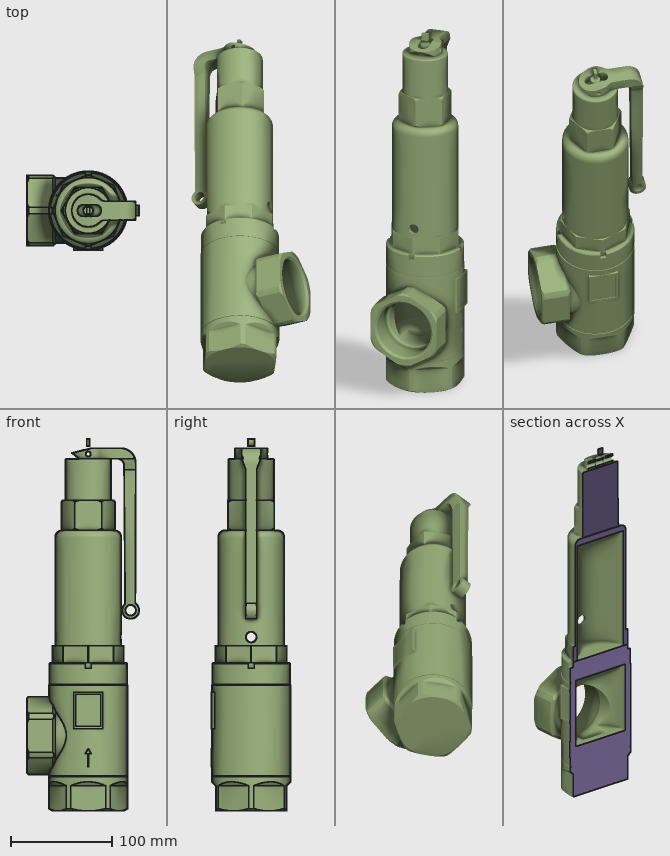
import cadquery as cq
import math


BODY_RADIUS = 39.0
COLLAR_RADIUS = 38.5
GROOVE_RADIUS = 38.3
GROOVE_WIDTH = 1.0
HEX_ACROSS_FLATS = 70.0
INLET_BAND_TOP = 33.5
INLET_FLAT_HEIGHT = 24.5
INLET_EDGE_WIDTH = 3.5
INLET_EDGE_HEIGHT = 2.2
COLLAR_BOTTOM = 125.0
HOUSING_TOP = 146.5
COLLAR_EDGE_CHAMFER = 1.0
NOTCH_WIDTH = 6.0
NOTCH_DEPTH = 5.5
NOTCH_LENGTH = 11.0
CHAMBER_RADIUS = 31.3
CHAMBER_FLOOR = 54.0

OUTLET_Z = 74.5
OUTLET_FACE_X = -60.7
OUTLET_CORNER_RADIUS = 38.5
OUTLET_FACE_CHAMFER = 2.0
NECK_RADIUS = 32.5
OUTLET_FLAT_END_X = -35.0
OUTLET_MOUTH_RADIUS = 30.5
OUTLET_BORE_RADIUS = 28.5
OUTLET_BORE_DEPTH = 25.8
OUTLET_PASSAGE_RADIUS = 26.0
PASSAGE_END_X = -7.5

BADGE_WIDTH = 29.0
BADGE_HEIGHT = 36.0
BADGE_Z = 99.5
BADGE_FACE_Y = -39.5
BADGE_RIM = 2.2
BADGE_RECESS = 0.55
ARROW_TIP_Z = 61.5
ARROW_TAIL_Z = 43.8
ARROW_HEAD_HEIGHT = 5.0
ARROW_HEAD_WIDTH = 6.3
ARROW_SHAFT_WIDTH = 1.0
ARROW_RELIEF = 0.5

BONNET_RADIUS = 32.8
BONNET_TOP = 277.5
BONNET_FILLET = 7.0
BONNET_WALL = 3.5
BONNET_ROOF = 7.5
OCTAGON_TOP = 163.0
OCTAGON_CORNER_RADIUS = 35.5
VENT_DIAMETER = 10.3
VENT_Z = 172.0

CAP_DIAMETER = 45.3
CAP_HEX_ACROSS_FLATS = 46.0
CAP_HEX_TOP = 307.3
CAP_TOP = 348.0
CAP_EDGE_FILLET = 1.5
CAP_HEX_CHAMFER = 2.0

LEVER_TOP = 359.0
DISC_RADIUS = 16.2
ARM_WIDTH = 18.8
ARM_FILLET = 7.5
ARM_END_CHAMFER = 2.2
DISC_SLOPE_START_X = 3.5
DISC_TIP_Z = 354.0
DISC_UNDERSIDE_X = -9.0
BEND_OUTER_RADIUS = 15.0
BEND_INNER_RADIUS = 6.3
HANDLE_INNER_X = 35.5
HANDLE_OUTER_X = 47.0
HANDLE_END_INNER_X = 36.5
HANDLE_END_OUTER_X = 46.7
HANDLE_WIDTH = 10.5
TAPER_BOTTOM = 337.5
RING_X = 42.0
RING_Z = 198.5
RING_OUTER_RADIUS = 8.5
RING_HOLE_RADIUS = 5.0
SLOT_LENGTH = 23.5
SLOT_WIDTH = 11.5
SLOT_X = 1.0
SEAL_HOLE_DIAMETER = 4.8
SEAL_HOLE_Z = 353.0

SPINDLE_DIAMETER = 9.5
SPINDLE_TOP = 357.0
TAG_THICKNESS = 3.0
TAG_WIDTH = 6.5
TAG_BOTTOM = 360.5
TAG_TOP = 368.0


def cylinder(radius, bottom, top):
    return cq.Workplane("XY").workplane(offset=bottom).circle(radius).extrude(top - bottom)


def inlet_flat_cutter():
    """Cutter for one inlet wrench flat, on the -Y side, ending in a 45 degree slope."""
    flat_y = HEX_ACROSS_FLATS / 2
    reach = BODY_RADIUS
    profile = [
        (-flat_y, 0),
        (-flat_y, INLET_FLAT_HEIGHT),
        (-flat_y - reach, INLET_FLAT_HEIGHT + reach),
        (-flat_y - reach, 0),
    ]
    return cq.Workplane("YZ").polyline(profile).close().extrude(BODY_RADIUS, both=True)


def outlet_branch():
    """Outlet hexagon with flats at +Y and -Y, rounded corners and a sloped back, and its neck."""
    slope_length = HEX_ACROSS_FLATS / 2 - NECK_RADIUS
    face = cq.Workplane("YZ", origin=(OUTLET_FACE_X, 0, OUTLET_Z))
    flat_end = cq.Workplane("YZ", origin=(OUTLET_FLAT_END_X, 0, OUTLET_Z))
    hexagon = (
        face.polygon(6, HEX_ACROSS_FLATS, circumscribed=True).extrude(OUTLET_FLAT_END_X - OUTLET_FACE_X)
        .union(flat_end.polygon(6, HEX_ACROSS_FLATS, circumscribed=True).extrude(slope_length, taper=45))
    )
    envelope = face.circle(OUTLET_CORNER_RADIUS).extrude(-OUTLET_FACE_X)
    envelope = envelope.faces("<X").chamfer(OUTLET_FACE_CHAMFER)
    neck = face.circle(NECK_RADIUS).extrude(-OUTLET_FACE_X)
    return hexagon.intersect(envelope).union(neck)


def outlet_bore():
    """Chamfered mouth, bore and, behind a 45 degree cone, the narrower passage into the chamber."""
    face = OUTLET_FACE_X
    bore_end = face + OUTLET_BORE_DEPTH
    profile = [
        (face, 0),
        (face, OUTLET_MOUTH_RADIUS),
        (face + OUTLET_MOUTH_RADIUS - OUTLET_BORE_RADIUS, OUTLET_BORE_RADIUS),
        (bore_end, OUTLET_BORE_RADIUS),
        (bore_end + OUTLET_BORE_RADIUS - OUTLET_PASSAGE_RADIUS, OUTLET_PASSAGE_RADIUS),
        (PASSAGE_END_X, OUTLET_PASSAGE_RADIUS),
        (PASSAGE_END_X, 0),
    ]
    bore = cq.Workplane("XY").polyline(profile).close().revolve(360, (0, 0, 0), (1, 0, 0))
    return bore.translate((0, 0, OUTLET_Z))


def badge_block(width, height, face_y):
    """Upright rectangular block that reaches from the chamber wall out to face_y on the -Y side."""
    face = cq.Workplane("XZ", origin=(0, face_y, BADGE_Z))
    return face.rect(width, height).extrude(face_y + CHAMBER_RADIUS)


def groove(bottom):
    """Ring that cuts a shallow groove into the round wall."""
    ring = cylinder(BODY_RADIUS, bottom, bottom + GROOVE_WIDTH)
    return ring.cut(cylinder(GROOVE_RADIUS, bottom, bottom + GROOVE_WIDTH))


def flow_arrow():
    """Raised arrow that follows the round wall."""
    neck_z = ARROW_TIP_Z - ARROW_HEAD_HEIGHT
    half_head, half_shaft = ARROW_HEAD_WIDTH / 2, ARROW_SHAFT_WIDTH / 2
    outline = [
        (0, ARROW_TIP_Z),
        (half_head, neck_z),
        (half_shaft, neck_z),
        (half_shaft, ARROW_TAIL_Z),
        (-half_shaft, ARROW_TAIL_Z),
        (-half_shaft, neck_z),
        (-half_head, neck_z),
    ]
    prism = cq.Workplane("XZ").polyline(outline).close().extrude(2 * BODY_RADIUS)
    skin = cylinder(BODY_RADIUS + ARROW_RELIEF, 0, COLLAR_BOTTOM)
    skin = skin.cut(cylinder(CHAMBER_RADIUS, 0, COLLAR_BOTTOM))
    return prism.intersect(skin)


def make_housing():
    """Valve housing with inlet hexagon, outlet branch, badge and the notched collar, as one casting."""
    inlet = cylinder(BODY_RADIUS, 0, INLET_BAND_TOP).faces("<Z").chamfer(INLET_EDGE_HEIGHT, INLET_EDGE_WIDTH)
    for side in range(6):
        inlet = inlet.cut(inlet_flat_cutter().rotate((0, 0, 0), (0, 0, 1), 60 * side))
    collar = cylinder(COLLAR_RADIUS, COLLAR_BOTTOM, HOUSING_TOP).faces(">Z").chamfer(COLLAR_EDGE_CHAMFER)
    housing = inlet.union(cylinder(BODY_RADIUS, INLET_BAND_TOP, COLLAR_BOTTOM))
    housing = housing.union(collar)
    housing = housing.cut(groove(INLET_BAND_TOP)).cut(groove(COLLAR_BOTTOM - GROOVE_WIDTH))
    housing = housing.union(outlet_branch()).union(flow_arrow())
    housing = housing.union(badge_block(BADGE_WIDTH, BADGE_HEIGHT, BADGE_FACE_Y))
    recess_width, recess_height = BADGE_WIDTH - 2 * BADGE_RIM, BADGE_HEIGHT - 2 * BADGE_RIM
    recess_face = cq.Workplane("XZ", origin=(0, BADGE_FACE_Y, BADGE_Z))
    housing = housing.cut(recess_face.rect(recess_width, recess_height).extrude(-BADGE_RECESS))

    housing = housing.cut(cylinder(CHAMBER_RADIUS, CHAMBER_FLOOR, COLLAR_BOTTOM))
    housing = housing.cut(outlet_bore())
    notch_x = OCTAGON_CORNER_RADIUS + NOTCH_LENGTH / 2
    notch_z = HOUSING_TOP - NOTCH_DEPTH / 2
    for angle in (0, 90, 180, 270):
        notch = cq.Workplane("XY", origin=(notch_x, 0, notch_z)).box(NOTCH_LENGTH, NOTCH_WIDTH, NOTCH_DEPTH)
        housing = housing.cut(notch.rotate((0, 0, 0), (0, 0, 1), angle))
    return housing


def make_bonnet():
    """Hollow spring bonnet: octagon foot with corners on the axes, and a round barrel tangent to its flats."""
    octagon = (
        cq.Workplane("XY").workplane(offset=HOUSING_TOP)
        .polygon(8, 2 * BONNET_RADIUS, circumscribed=True).extrude(OCTAGON_TOP - HOUSING_TOP)
        .rotate((0, 0, 0), (0, 0, 1), 180 / 8)
    )
    foot = octagon.intersect(cylinder(OCTAGON_CORNER_RADIUS, HOUSING_TOP, OCTAGON_TOP))
    barrel = cylinder(BONNET_RADIUS, HOUSING_TOP, BONNET_TOP).faces(">Z").edges().fillet(BONNET_FILLET)
    vent = (
        cq.Workplane("YZ", origin=(0, 0, VENT_Z))
        .circle(VENT_DIAMETER / 2).extrude(2 * BONNET_RADIUS, both=True)
    )
    spring_space = cylinder(BONNET_RADIUS - BONNET_WALL, HOUSING_TOP, BONNET_TOP - BONNET_ROOF)
    return foot.union(barrel).cut(spring_space).cut(vent)


def make_cap():
    """Hexagon with chamfered corners below a slightly narrower round cap."""
    height = CAP_HEX_TOP - BONNET_TOP
    hexagon = (
        cq.Workplane("XY").workplane(offset=BONNET_TOP)
        .polygon(6, CAP_HEX_ACROSS_FLATS, circumscribed=True).extrude(height)
        .rotate((0, 0, 0), (0, 0, 1), 180 / 6)
    )
    corner_radius = CAP_HEX_ACROSS_FLATS / math.sqrt(3)
    envelope = cylinder(corner_radius, BONNET_TOP, CAP_HEX_TOP)
    envelope = envelope.faces("<Z or >Z").chamfer(CAP_HEX_CHAMFER)
    barrel = cylinder(CAP_DIAMETER / 2, BONNET_TOP, CAP_TOP)
    barrel = barrel.faces(">Z").edges().fillet(CAP_EDGE_FILLET)
    return hexagon.intersect(envelope).union(barrel)


def lever_side_profile():
    """Bent lever in the XZ plane, from the disc's tip over the bend to the handle's end."""
    arc_share = math.sqrt(0.5)
    outer_x = HANDLE_OUTER_X - BEND_OUTER_RADIUS
    outer_z = LEVER_TOP - BEND_OUTER_RADIUS
    inner_x = HANDLE_INNER_X - BEND_INNER_RADIUS
    inner_z = CAP_TOP - BEND_INNER_RADIUS
    return (
        cq.Workplane("XZ")
        .moveTo(-DISC_RADIUS, DISC_TIP_Z)
        .lineTo(DISC_SLOPE_START_X, LEVER_TOP)
        .lineTo(outer_x, LEVER_TOP)
        .threePointArc(
            (outer_x + BEND_OUTER_RADIUS * arc_share, outer_z + BEND_OUTER_RADIUS * arc_share),
            (HANDLE_OUTER_X, outer_z),
        )
        .lineTo(HANDLE_END_OUTER_X, RING_Z)
        .lineTo(HANDLE_END_INNER_X, RING_Z)
        .lineTo(HANDLE_INNER_X, inner_z)
        .threePointArc(
            (inner_x + BEND_INNER_RADIUS * arc_share, inner_z + BEND_INNER_RADIUS * arc_share),
            (inner_x, CAP_TOP),
        )
        .lineTo(DISC_UNDERSIDE_X, CAP_TOP)
        .close()
        .extrude(DISC_RADIUS, both=True)
    )


def seal_hole():
    """Hole along Y for the sealing wire, through the lever's disc and the spindle."""
    return (
        cq.Workplane("XZ", origin=(0, 0, SEAL_HOLE_Z))
        .circle(SEAL_HOLE_DIAMETER / 2).extrude(DISC_RADIUS, both=True)
    )


def lever_head():
    """Disc and the arm that runs from it to the bend, blended by concave fillets."""
    height = LEVER_TOP - CAP_TOP
    disc = cylinder(DISC_RADIUS, CAP_TOP, LEVER_TOP)
    arm = (
        cq.Workplane("XY", origin=(HANDLE_OUTER_X / 2, 0, CAP_TOP))
        .rect(HANDLE_OUTER_X, ARM_WIDTH).extrude(height)
    )
    head = disc.union(arm)
    blend_x = math.sqrt(DISC_RADIUS**2 - (ARM_WIDTH / 2) ** 2)
    blend_zone = cq.selectors.BoxSelector(
        (blend_x - ARM_FILLET / 2, -ARM_WIDTH, CAP_TOP), (blend_x + ARM_FILLET / 2, ARM_WIDTH, LEVER_TOP)
    )
    head = head.edges("|Z").edges(blend_zone).fillet(ARM_FILLET)
    return head.faces(">X").edges("|Z").chamfer(ARM_END_CHAMFER)


def lever_handle():
    """Handle outline seen along X: it tapers from the arm's width, then runs straight down to the ring."""
    half_arm, half_handle = ARM_WIDTH / 2, HANDLE_WIDTH / 2
    outline = [
        (-half_arm, CAP_TOP),
        (half_arm, CAP_TOP),
        (half_handle, TAPER_BOTTOM),
        (half_handle, RING_Z),
        (-half_handle, RING_Z),
        (-half_handle, TAPER_BOTTOM),
    ]
    return cq.Workplane("YZ").polyline(outline).close().extrude(HANDLE_OUTER_X)


def make_lever():
    lever = lever_head().union(lever_handle()).intersect(lever_side_profile())
    ring_plane = cq.Workplane("XZ", origin=(RING_X, 0, RING_Z))
    ring = ring_plane.circle(RING_OUTER_RADIUS).extrude(HANDLE_WIDTH / 2, both=True)
    ring_hole = ring_plane.circle(RING_HOLE_RADIUS).extrude(HANDLE_WIDTH / 2, both=True)
    lever = lever.union(ring).cut(ring_hole)
    slot = (
        cq.Workplane("XY", origin=(SLOT_X, 0, CAP_TOP))
        .slot2D(SLOT_LENGTH, SLOT_WIDTH).extrude(LEVER_TOP - CAP_TOP)
    )
    return lever.cut(slot).cut(seal_hole())


def make_spindle():
    """Spindle end that stands on the cap, inside the lever's slot."""
    return cylinder(SPINDLE_DIAMETER / 2, CAP_TOP, SPINDLE_TOP).cut(seal_hole())


def make_tag():
    """Small seal tag, free above the spindle."""
    return cq.Workplane("XY", origin=(0, 0, (TAG_BOTTOM + TAG_TOP) / 2)).box(
        TAG_THICKNESS, TAG_WIDTH, TAG_TOP - TAG_BOTTOM
    )


housing = make_housing()
bonnet = make_bonnet()
cap = make_cap()
lever = make_lever()
spindle = make_spindle()
tag = make_tag()
result = cq.Compound.makeCompound([
    housing.val(),
    bonnet.val(),
    cap.val(),
    lever.val(),
    spindle.val(),
    tag.val(),
])